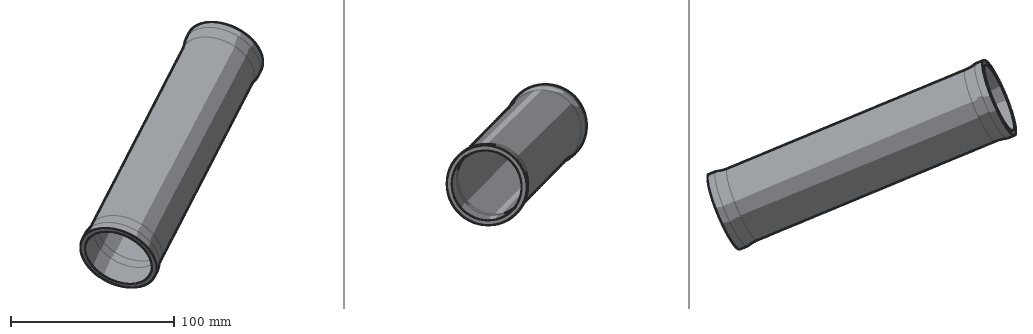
import cadquery as cq
import math

length = 185.0
collar_radius = 25.0
body_radius = 23.9
end_bore_radius = 21.8
middle_bore_radius = 22.4

collar_width = 5.0
flare_end = 12.4
end_bore_depth = 14.8
bore_taper_end = 21.0

half_length = length / 2


def flare_radius_at(distance_from_body):
    """Radius of the concave flare, an arc tangent to the body."""
    flare_length = flare_end - collar_width
    flare_height = collar_radius - body_radius
    arc_radius = (flare_length**2 + flare_height**2) / (2 * flare_height)
    return body_radius + arc_radius - math.sqrt(arc_radius**2 - distance_from_body**2)


def revolve_about_y(profile):
    return profile.close().revolve(360, (0, 0, 0), (0, 1, 0))


def make_outside():
    collar_y = half_length - collar_width
    flare_y = half_length - flare_end
    arc_middle_y = (collar_y + flare_y) / 2
    arc_middle_radius = flare_radius_at(arc_middle_y - flare_y)
    profile = (
        cq.Workplane("XY")
        .moveTo(0, -half_length)
        .lineTo(collar_radius, -half_length)
        .lineTo(collar_radius, -collar_y)
        .threePointArc((arc_middle_radius, -arc_middle_y), (body_radius, -flare_y))
        .lineTo(body_radius, flare_y)
        .threePointArc((arc_middle_radius, arc_middle_y), (collar_radius, collar_y))
        .lineTo(collar_radius, half_length)
        .lineTo(0, half_length)
    )
    return revolve_about_y(profile)


def make_bore():
    """Through bore, slightly wider between two short tapers."""
    end_bore_y = half_length - end_bore_depth
    taper_y = half_length - bore_taper_end
    profile = (
        cq.Workplane("XY")
        .moveTo(0, -half_length)
        .lineTo(end_bore_radius, -half_length)
        .lineTo(end_bore_radius, -end_bore_y)
        .lineTo(middle_bore_radius, -taper_y)
        .lineTo(middle_bore_radius, taper_y)
        .lineTo(end_bore_radius, end_bore_y)
        .lineTo(end_bore_radius, half_length)
        .lineTo(0, half_length)
    )
    return revolve_about_y(profile)


result = make_outside().cut(make_bore())